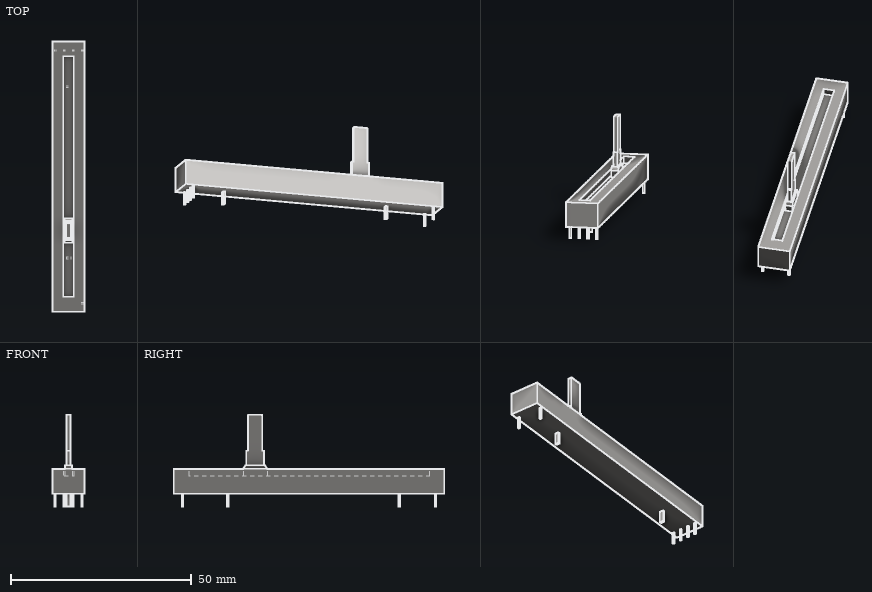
import cadquery as cq

body_width = 9.0
body_length = 75.0
body_height = 7.0

slot_width = 3.0
slot_length = 66.7
slot_depth = 1.9

lever_y = -14.9
lever_thickness = 1.1
base_width = 2.0
base_length = 6.7
base_top_length = 5.5
base_height = 1.0
shank_length = 4.95
shank_height = 5.0
grip_length = 4.0
lever_height = 15.0
grip_round = 0.3

pin_length = 3.5
pin_pitch = 10 / 3
pin_width = 0.5
pin_thickness = 0.4
end_pin_y = 35.0
tab_width = 1.1
tab_thickness = 0.5
tab_positions = (25.0, -22.5)


def make_housing():
    housing = cq.Workplane("XY").box(
        body_width, body_length, body_height, centered=(True, True, False)
    ).translate((0, 0, -body_height))
    slot = cq.Workplane("XY").box(
        slot_width, slot_length, slot_depth, centered=(True, True, False)
    ).translate((0, 0, -slot_depth))
    return housing.cut(slot)


def lever_block(length, bottom, top):
    return cq.Workplane("XY").box(
        lever_thickness, length, top - bottom, centered=(True, True, False)
    ).translate((0, lever_y, bottom))


def make_lever():
    base = (
        cq.Workplane("YZ")
        .moveTo(lever_y - base_length / 2, -slot_depth)
        .lineTo(lever_y + base_length / 2, -slot_depth)
        .lineTo(lever_y + base_length / 2, 0)
        .lineTo(lever_y + base_top_length / 2, base_height)
        .lineTo(lever_y - base_top_length / 2, base_height)
        .lineTo(lever_y - base_length / 2, 0)
        .close()
        .extrude(base_width / 2, both=True)
    )
    shank = lever_block(shank_length, base_height, shank_height)
    grip = lever_block(grip_length, shank_height, lever_height)
    grip = grip.faces(">Z").edges("|X").fillet(grip_round)
    return base.union(shank).union(grip)


def make_terminal(x, y, width, thickness):
    return cq.Workplane("XY").box(
        width, thickness, pin_length, centered=(True, True, False)
    ).translate((x, y, -body_height - pin_length))


result = make_housing().union(make_lever())

for pitches in (-1.1, 1.1):
    result = result.union(make_terminal(pitches * pin_pitch, -end_pin_y, pin_width, pin_thickness))
for pitches in (-1.1, -0.4, 0.4, 1.1):
    result = result.union(make_terminal(pitches * pin_pitch, end_pin_y, pin_width, pin_thickness))

for tab_y in tab_positions:
    result = result.union(make_terminal(0, tab_y, tab_width, tab_thickness))